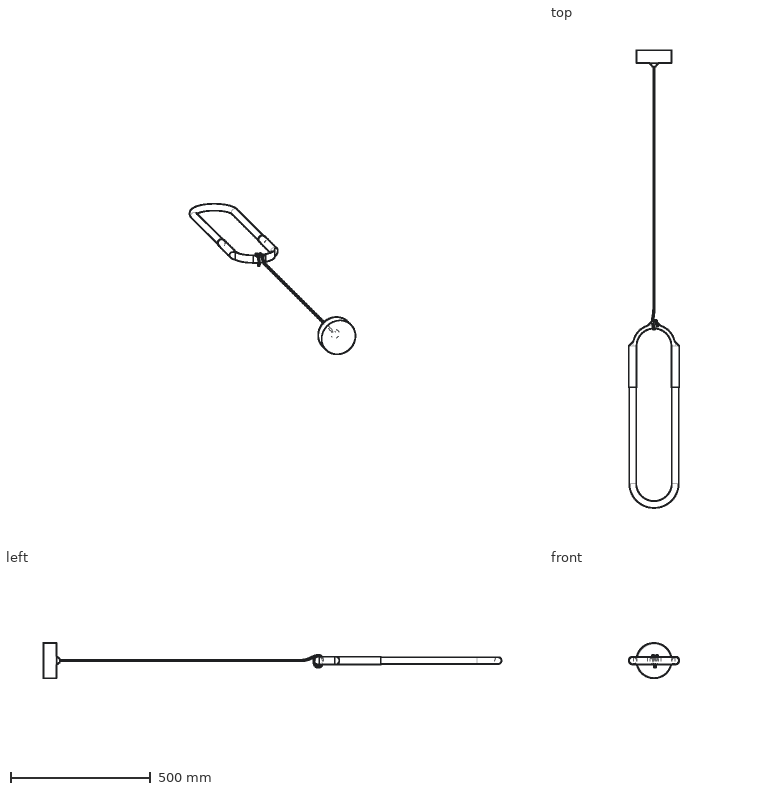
import cadquery as cq
import math

overall_length = 1640.36
leg_spacing = 152.4
bend_radius = leg_spacing / 2

canopy_diameter = 127.0
canopy_depth = 47.0
canopy_edge_fillet = 3.0
relief_base_radius = 16.0
relief_tip_radius = 6.0
relief_length = 12.0

tube_diameter = 25.4
sleeve_diameter = 28.575
sleeve_length = 149.0
leg_length = 492.0
lower_bend_y = -overall_length + bend_radius + tube_diameter / 2
upper_bend_y = lower_bend_y + leg_length
sleeve_end_y = upper_bend_y - sleeve_length
apex_y = upper_bend_y + bend_radius
apex_ramp_half_width = 20.0

cable_diameter = 6.35
wrap_centre_y = apex_y - 1.0
wrap_centre_z = -2.5
wrap_half_depth = 15.0
wrap_half_height = 20.5
wrap_start_angle = 75.0
wrap_end_angle = 470.0
wrap_angle_step = 30.0
tangent_step = 1.0
wrap_start_x = -4.0
wrap_pitch = 14.0
lead_length = 68.0


def rod(radius, start_y, end_y, x=0.0):
    """Round bar along Y between two Y positions."""
    return cq.Workplane("XZ", origin=(x, end_y, 0)).circle(radius).extrude(end_y - start_y)


def lower_bend():
    """Half torus in the XY plane that joins the two legs at the bottom."""
    return (
        cq.Workplane("XZ", origin=(bend_radius, lower_bend_y, 0))
        .circle(tube_diameter / 2)
        .revolve(180, (-bend_radius, 0, 0), (-bend_radius, -1, 0))
    )


def canopy():
    disc = rod(canopy_diameter / 2, -canopy_depth, 0).faces("<Y").edges().fillet(canopy_edge_fillet)
    relief = (
        cq.Workplane("XY")
        .moveTo(0, -canopy_depth)
        .lineTo(relief_base_radius, -canopy_depth)
        .lineTo(relief_tip_radius, -canopy_depth - relief_length)
        .lineTo(0, -canopy_depth - relief_length)
        .close()
        .revolve(360, (0, 0, 0), (0, 1, 0))
    )
    return disc.union(relief)


def upper_bend():
    """Bend whose outer half is cut away, leaving 45 degree ramps at the apex and at both legs."""
    radius = sleeve_diameter / 2
    full_bend = cq.Workplane(
        cq.Solid.makeTorus(bend_radius, radius, cq.Vector(0, upper_bend_y, 0), cq.Vector(0, 0, 1))
    )
    outer_edge = bend_radius + radius
    apex_base_half_width = 2 * apex_ramp_half_width
    inner_half = cq.Workplane("XY", origin=(0, upper_bend_y, -radius)).circle(bend_radius).extrude(2 * radius)
    ramps = (
        cq.Workplane("XY", origin=(0, upper_bend_y, -radius))
        .polyline([(-outer_edge, 0), (0, outer_edge), (outer_edge, 0)])
        .close()
        .extrude(2 * radius)
    )
    apex_wedge = (
        cq.Workplane("XY", origin=(0, apex_y, -radius))
        .polyline([
            (-apex_base_half_width, -apex_ramp_half_width),
            (0, apex_ramp_half_width),
            (apex_base_half_width, -apex_ramp_half_width),
        ])
        .close()
        .extrude(2 * radius)
    )
    upper_side = cq.Workplane("XY", origin=(0, upper_bend_y + outer_edge / 2, 0)).box(
        2 * outer_edge, outer_edge, 2 * radius
    )
    return full_bend.intersect(inner_half.union(ramps).union(apex_wedge)).intersect(upper_side)


def lamp_loop():
    loop = lower_bend().union(upper_bend())
    for x in (-bend_radius, bend_radius):
        loop = loop.union(rod(tube_diameter / 2, lower_bend_y, sleeve_end_y, x))
        loop = loop.union(rod(sleeve_diameter / 2, sleeve_end_y, upper_bend_y, x))
    return loop


def wrap_point(angle):
    """Point of the flattened helix that winds round the apex of the loop."""
    turn = math.radians(angle)
    return cq.Vector(
        wrap_start_x + wrap_pitch * (angle - wrap_start_angle) / 360,
        wrap_centre_y + wrap_half_depth * math.cos(turn),
        wrap_centre_z + wrap_half_height * math.sin(turn),
    )


def cable():
    lead_y = wrap_centre_y + lead_length
    straight = rod(cable_diameter / 2, lead_y, -canopy_depth)
    step_count = math.ceil((wrap_end_angle - wrap_start_angle) / wrap_angle_step)
    step = (wrap_end_angle - wrap_start_angle) / step_count
    points = [cq.Vector(0, lead_y, 0)]
    points += [wrap_point(wrap_start_angle + i * step) for i in range(step_count + 1)]
    end_direction = (wrap_point(wrap_end_angle + tangent_step) - wrap_point(wrap_end_angle)).normalized()
    path = cq.Edge.makeSpline(points, tangents=[cq.Vector(0, -1, 0), end_direction])
    profile = cq.Workplane("XZ", origin=(0, lead_y, 0))
    wrap = profile.circle(cable_diameter / 2).sweep(cq.Workplane(path))
    return straight.union(wrap)


result = canopy().union(cable()).union(lamp_loop())